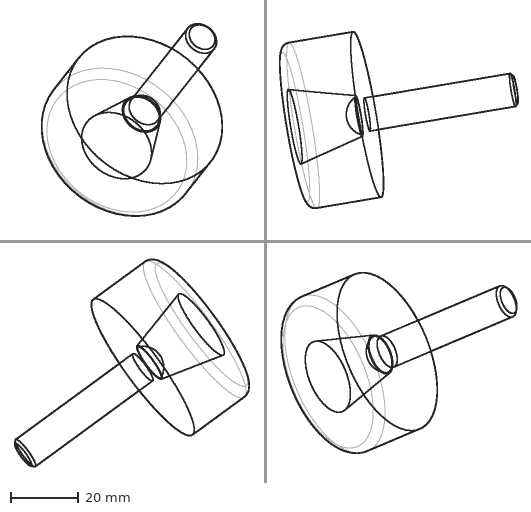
import cadquery as cq

head_diameter = 50.0
head_thickness = 22.0
head_edge_radius = 2.5

stem_diameter = 10.0
stem_length = 45.0
stem_tip_chamfer = 0.85

recess_mouth_diameter = 22.5
recess_floor_diameter = 12.3
recess_depth = 19.5
dome_diameter = 11.5
dome_height = 3.75


def disc(diameter, start_y, length):
    """Cylinder along Y, from start_y toward +Y."""
    plane = cq.Workplane("XZ", origin=(0, start_y, 0))
    return plane.circle(diameter / 2).extrude(-length)


def make_head():
    return disc(head_diameter, 0, head_thickness).faces("<Y").edges().fillet(head_edge_radius)


def make_stem():
    stem = disc(stem_diameter, head_thickness, stem_length)
    return stem.faces(">Y").edges().chamfer(stem_tip_chamfer)


def make_recess():
    """Cone-shaped cutter that narrows from the face to the recess floor."""
    half_profile = cq.Workplane("XY").polyline(
        [
            (0, 0),
            (recess_mouth_diameter / 2, 0),
            (recess_floor_diameter / 2, recess_depth),
            (0, recess_depth),
        ]
    )
    return half_profile.close().revolve(360, (0, 0, 0), (0, 1, 0))


def make_dome():
    """Spherical cap standing on the recess floor and facing -Y."""
    sphere_radius = (dome_diameter**2 / 4 + dome_height**2) / (2 * dome_height)
    sphere_center_y = recess_depth - dome_height + sphere_radius
    ball = cq.Workplane("XY", origin=(0, sphere_center_y, 0)).sphere(sphere_radius)
    return ball.intersect(disc(head_diameter, 0, recess_depth))


result = make_head().union(make_stem()).cut(make_recess()).union(make_dome())